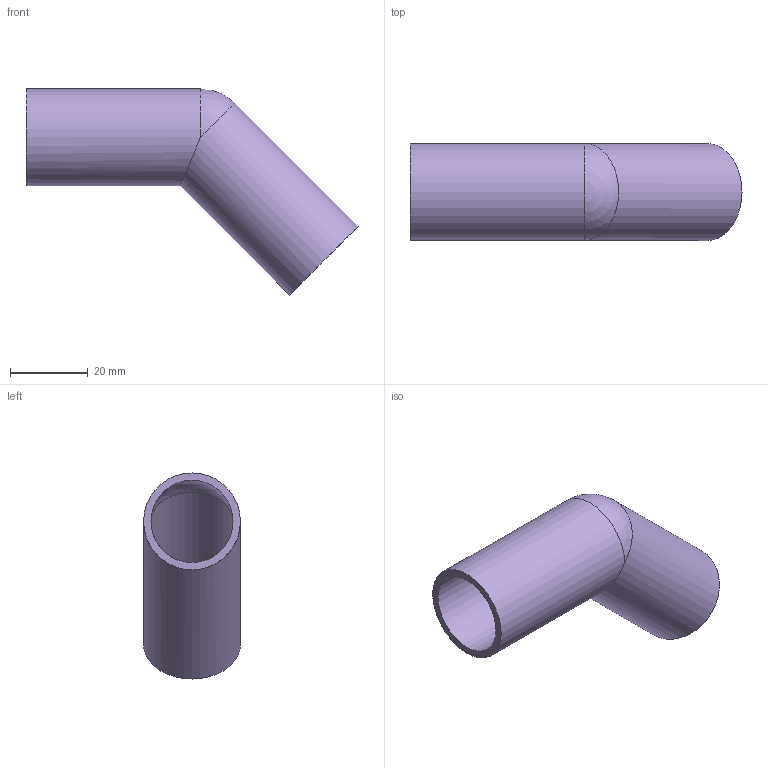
import cadquery as cq
import math

outer_diameter = 25.0
inner_diameter = 21.2
leg_length = 45.0
bend_angle = 45.0

joint_center = cq.Vector(leg_length, 0, 0)
bend_radians = math.radians(bend_angle)
inlet_direction = cq.Vector(-1, 0, 0)
outlet_direction = cq.Vector(math.cos(bend_radians), 0, -math.sin(bend_radians))


def leg(diameter, direction):
    """Solid cylinder running from the joint centre to one open end."""
    cylinder = cq.Solid.makeCylinder(diameter / 2, leg_length, joint_center, direction)
    return cq.Workplane(obj=cylinder)


def elbow(diameter):
    """Two legs joined by a ball that rounds the outside of the bend."""
    ball = cq.Workplane().sphere(diameter / 2).translate(joint_center)
    legs = leg(diameter, inlet_direction).union(leg(diameter, outlet_direction))
    return legs.union(ball)


result = elbow(outer_diameter).cut(elbow(inner_diameter))